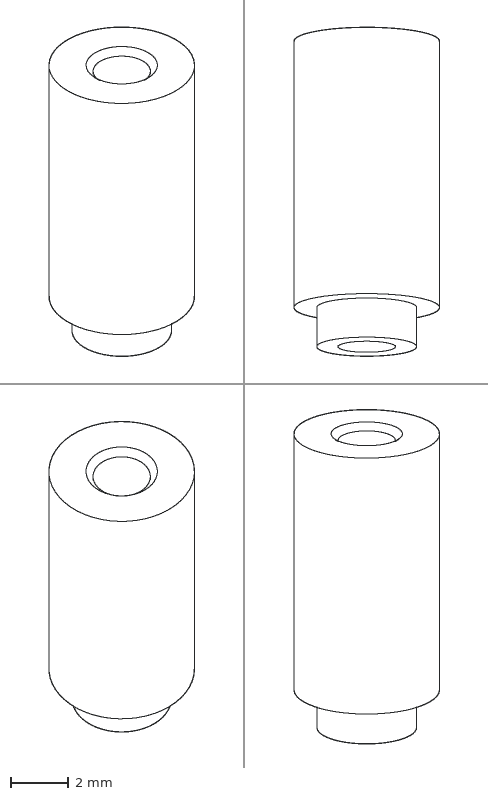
import cadquery as cq

total_height = 10.9
body_diameter = 5.1
spigot_diameter = 3.5
spigot_height = 1.4
body_height = total_height - spigot_height

bore_diameter = 2.01
countersink_diameter = 2.5
countersink_depth = (countersink_diameter - bore_diameter) / 2

spigot = cq.Workplane("XY").circle(spigot_diameter / 2).extrude(spigot_height)
body = (
    cq.Workplane("XY")
    .workplane(offset=spigot_height)
    .circle(body_diameter / 2)
    .extrude(body_height)
)

bored = spigot.union(body).faces(">Z").workplane().hole(bore_diameter)
bore_rim = cq.selectors.RadiusNthSelector(0)
result = bored.faces(">Z").edges(bore_rim).chamfer(countersink_depth)